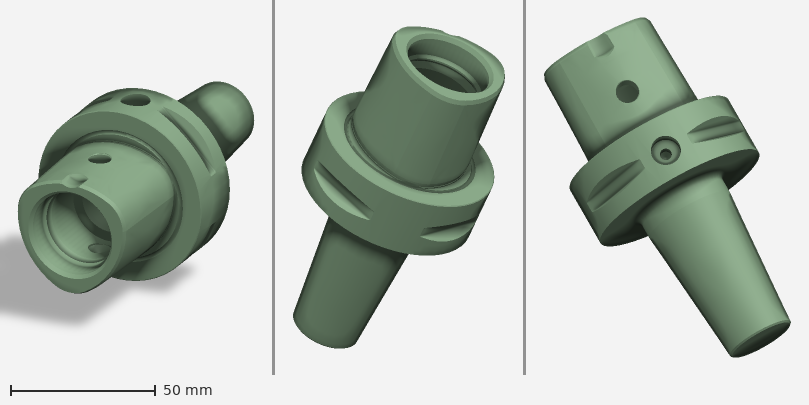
import cadquery as cq
import math

FLANGE_RADIUS = 31.5
FLANGE_LENGTH = 22.0
FLANGE_CHAMFER = 0.3
RIM_FEATURE_Y = 12.1

NOSE_END_Y = 80.0
NOSE_TIP_RADIUS = 12.0
NOSE_ROOT_RADIUS = 16.0
NOSE_TAPER_DEG = 4.5
NOSE_TIP_CHAMFER = 0.6
NOSE_FILLET = 2.0

SHANK_LENGTH = 38.0
LOBE_CENTRE = 10.2
LOBE_RADIUS = 12.97
LOBE_ANGLES = (-90, 30, 150)
LOBE_HALF_SPAN = 30
SIDE_TAPER = 1 / 40
TIP_CHAMFER_LENGTH = 1.5
TIP_CHAMFER_DEPTH = 0.7

NECK_START = 0.5
NECK_END = 2.0
NECK_RELIEF = 0.25
LOBE_TRIM_LENGTH = 1.2
GROOVE_OUTER_RADIUS = 24.4
GROOVE_INNER_RADIUS = 22.8

ENTRY_RADIUS = 16.2
ENTRY_CHAMFER_LENGTH = 1.5
MOUTH_RADIUS = 15.1
MOUTH_DEPTH = 8.4
LIP_RADIUS = 14.1
LIP_LENGTH = 0.6
CLAMP_GROOVE_RADIUS = 15.3
CLAMP_GROOVE_END = 11.4
SEAT_DEPTH = 13.5
BORE_RADIUS = 13.9
BORE_DEPTH = 30.0
THREAD_RADIUS = 9.2
THREAD_CHAMFER = 1.1
THREAD_DEPTH = 45.0

DRILL_POINT_DEG = 118.0

SHANK_HOLE_RADIUS = 4.0
SHANK_HOLE_CHAMFER = 0.35
SHANK_HOLE_RIM_Z = 20.1
SHANK_HOLE_Y = -15.3
SHANK_HOLE_FLOOR_Z = -14.0

POCKET_RADIUS = 5.2
POCKET_FLOOR_Z = 26.0
PILOT_RADIUS = 2.05
PILOT_DEPTH = 4.0

SLOT_COUNT = 4
SLOT_FIRST_ANGLE = 45.0
SLOT_FLOOR_RADIUS = 27.8
SLOT_FLOOR_WIDTH = 3.8
SLOT_WALL_DEG = 30.0
SLOT_FILLET = 0.6

NOTCH_RADIUS = 5.6
NOTCH_FLOOR_Z = 17.8
NOTCH_LENGTH = 6.4


def revolve_about_y(points):
    """Solid of revolution about Y from (radius, y) points."""
    return cq.Workplane("XY").polyline(points).close().revolve(360, (0, 0, 0), (0, 1, 0))


def polar(radius, angle_deg):
    angle = math.radians(angle_deg)
    return cq.Vector(radius * math.cos(angle), radius * math.sin(angle))


def lobed_outline(start_y, inset):
    """Closed three-lobe outline of constant width, moved inward by inset, facing -Y."""
    lobe_radius = LOBE_RADIUS - inset
    flank_radius = lobe_radius + LOBE_CENTRE * math.sqrt(3)
    outline = cq.Workplane("XZ", origin=(0, start_y, 0))
    for index, lobe_angle in enumerate(LOBE_ANGLES):
        centre = polar(LOBE_CENTRE, lobe_angle)
        start = centre + polar(lobe_radius, lobe_angle - LOBE_HALF_SPAN)
        middle = centre + polar(lobe_radius, lobe_angle)
        end = centre + polar(lobe_radius, lobe_angle + LOBE_HALF_SPAN)

        flank_angle = lobe_angle + 2 * LOBE_HALF_SPAN
        flank_centre = polar(LOBE_CENTRE, flank_angle + 180)
        flank_middle = flank_centre + polar(flank_radius, flank_angle)
        flank_end = flank_centre + polar(flank_radius, flank_angle + LOBE_HALF_SPAN)

        if index == 0:
            outline = outline.moveTo(start.x, start.y)
        outline = outline.threePointArc((middle.x, middle.y), (end.x, end.y))
        outline = outline.threePointArc((flank_middle.x, flank_middle.y), (flank_end.x, flank_end.y))
    return outline.close()


def drill_along_z(radius, x, y, top_z, floor_z):
    """Round hole entering from +Z, ending in a drill point below floor_z."""
    point_height = radius / math.tan(math.radians(DRILL_POINT_DEG / 2))
    profile = [(0, top_z), (radius, top_z), (radius, floor_z), (0, floor_z - point_height)]
    hole = cq.Workplane("XZ").polyline(profile).close().revolve(360, (0, 0, 0), (0, 1, 0))
    return hole.translate((x, y, 0))


def make_head():
    """Flange and nose in one turned body, with the rounded nose root."""
    taper_slope = math.tan(math.radians(NOSE_TAPER_DEG))
    taper_length = (NOSE_ROOT_RADIUS - NOSE_TIP_RADIUS) / taper_slope
    chamfer_radius = NOSE_TIP_RADIUS + NOSE_TIP_CHAMFER * taper_slope
    fillet_y = FLANGE_LENGTH + NOSE_FILLET
    fillet_radius = NOSE_ROOT_RADIUS + NOSE_FILLET
    mid_offset = NOSE_FILLET * (1 - math.sqrt(0.5))
    return (
        cq.Workplane("XY")
        .moveTo(0, 0)
        .lineTo(FLANGE_RADIUS - FLANGE_CHAMFER, 0)
        .lineTo(FLANGE_RADIUS, FLANGE_CHAMFER)
        .lineTo(FLANGE_RADIUS, FLANGE_LENGTH)
        .lineTo(fillet_radius, FLANGE_LENGTH)
        .threePointArc(
            (NOSE_ROOT_RADIUS + mid_offset, FLANGE_LENGTH + mid_offset),
            (NOSE_ROOT_RADIUS, fillet_y),
        )
        .lineTo(NOSE_ROOT_RADIUS, NOSE_END_Y - taper_length)
        .lineTo(chamfer_radius, NOSE_END_Y - NOSE_TIP_CHAMFER)
        .lineTo(NOSE_TIP_RADIUS - NOSE_TIP_CHAMFER, NOSE_END_Y)
        .lineTo(0, NOSE_END_Y)
        .close()
        .revolve(360, (0, 0, 0), (0, 1, 0))
    )


def make_face_groove():
    """Round-bottomed ring groove in the flange face that also trims the lobes of the neck."""
    groove_radius = (GROOVE_OUTER_RADIUS - GROOVE_INNER_RADIUS) / 2
    return (
        cq.Workplane("XY")
        .moveTo(GROOVE_INNER_RADIUS, -LOBE_TRIM_LENGTH)
        .lineTo(GROOVE_OUTER_RADIUS, -LOBE_TRIM_LENGTH)
        .lineTo(GROOVE_OUTER_RADIUS, 0)
        .threePointArc((GROOVE_INNER_RADIUS + groove_radius, groove_radius), (GROOVE_INNER_RADIUS, 0))
        .close()
        .revolve(360, (0, 0, 0), (0, 1, 0))
    )


def make_neck():
    """Short full-size collar against the flange, then the slightly smaller relief."""
    collar = lobed_outline(0, 0).extrude(NECK_START)
    relief = lobed_outline(-NECK_START, NECK_RELIEF).extrude(NECK_END - NECK_START)
    return collar.union(relief)


def make_shank():
    """Tapered lobed body and chamfered tip."""
    body_length = SHANK_LENGTH - NECK_END - TIP_CHAMFER_LENGTH
    body = lobed_outline(-NECK_END, 0).extrude(body_length, taper=math.degrees(math.atan(SIDE_TAPER)))
    tip_inset = body_length * SIDE_TAPER
    tip_taper = math.degrees(math.atan(TIP_CHAMFER_DEPTH / TIP_CHAMFER_LENGTH))
    tip_y = TIP_CHAMFER_LENGTH - SHANK_LENGTH
    tip = lobed_outline(tip_y, tip_inset).extrude(TIP_CHAMFER_LENGTH, taper=tip_taper)
    return body.union(tip)


def make_bore():
    """Stepped bore with a clamping groove and a pointed threaded hole behind it."""
    mouth_y = -SHANK_LENGTH
    lip_start = mouth_y + MOUTH_DEPTH + MOUTH_RADIUS - LIP_RADIUS
    lip_end = lip_start + LIP_LENGTH
    groove_start = lip_end + CLAMP_GROOVE_RADIUS - LIP_RADIUS
    groove_end = mouth_y + CLAMP_GROOVE_END
    seat_y = mouth_y + SEAT_DEPTH
    floor_y = mouth_y + BORE_DEPTH
    thread_end = mouth_y + THREAD_DEPTH
    point_height = THREAD_RADIUS / math.tan(math.radians(DRILL_POINT_DEG / 2))
    return (
        cq.Workplane("XY")
        .moveTo(0, mouth_y)
        .lineTo(ENTRY_RADIUS, mouth_y)
        .lineTo(MOUTH_RADIUS, mouth_y + ENTRY_CHAMFER_LENGTH)
        .lineTo(MOUTH_RADIUS, mouth_y + MOUTH_DEPTH)
        .lineTo(LIP_RADIUS, lip_start)
        .lineTo(LIP_RADIUS, lip_end)
        .lineTo(CLAMP_GROOVE_RADIUS, groove_start)
        .lineTo(CLAMP_GROOVE_RADIUS, groove_end)
        .lineTo(BORE_RADIUS, seat_y)
        .lineTo(BORE_RADIUS, floor_y)
        .lineTo(THREAD_RADIUS + THREAD_CHAMFER, floor_y)
        .lineTo(THREAD_RADIUS, floor_y + THREAD_CHAMFER)
        .lineTo(THREAD_RADIUS, thread_end)
        .lineTo(0, thread_end + point_height)
        .close()
        .revolve(360, (0, 0, 0), (0, 1, 0))
    )


def make_shank_hole():
    """Chamfered radial hole through the upper bore wall, its point ending in the lower wall."""
    hole = drill_along_z(SHANK_HOLE_RADIUS, 0, SHANK_HOLE_Y, FLANGE_RADIUS, SHANK_HOLE_FLOOR_Z)
    rim_radius = SHANK_HOLE_RADIUS + SHANK_HOLE_CHAMFER
    rim = cq.Workplane(
        cq.Solid.makeCone(
            SHANK_HOLE_RADIUS,
            rim_radius,
            SHANK_HOLE_CHAMFER,
            pnt=cq.Vector(0, SHANK_HOLE_Y, SHANK_HOLE_RIM_Z - SHANK_HOLE_CHAMFER),
        )
    )
    clearance = (
        cq.Workplane("XY", origin=(0, SHANK_HOLE_Y, SHANK_HOLE_RIM_Z))
        .circle(rim_radius)
        .extrude(FLANGE_RADIUS - SHANK_HOLE_RIM_Z)
    )
    return hole.union(rim).union(clearance)


def make_flange_pocket():
    """Flat-bottomed round pocket in the rim with a pointed pilot hole below it."""
    pocket = (
        cq.Workplane("XY", origin=(0, RIM_FEATURE_Y, POCKET_FLOOR_Z))
        .circle(POCKET_RADIUS)
        .extrude(FLANGE_RADIUS - POCKET_FLOOR_Z)
    )
    pilot = drill_along_z(PILOT_RADIUS, 0, RIM_FEATURE_Y, POCKET_FLOOR_Z, POCKET_FLOOR_Z - PILOT_DEPTH)
    return pocket.union(pilot)


def make_gripper_slot(angle_deg):
    """Straight flared slot across the rim, with rounded floor corners."""
    height = FLANGE_RADIUS - SLOT_FLOOR_RADIUS
    floor_half = SLOT_FLOOR_WIDTH / 2
    top_half = floor_half + height * math.tan(math.radians(SLOT_WALL_DEG))
    slot = (
        cq.Workplane("YZ")
        .polyline([
            (RIM_FEATURE_Y - floor_half, SLOT_FLOOR_RADIUS),
            (RIM_FEATURE_Y + floor_half, SLOT_FLOOR_RADIUS),
            (RIM_FEATURE_Y + top_half, FLANGE_RADIUS),
            (RIM_FEATURE_Y - top_half, FLANGE_RADIUS),
        ])
        .close()
        .extrude(FLANGE_RADIUS, both=True)
        .faces("<Z")
        .edges("|X")
        .fillet(SLOT_FILLET)
    )
    return slot.rotate((0, 0, 0), (0, 1, 0), angle_deg)


def make_tip_notch():
    """Pointed round cutter path along Y that nicks the top of the shank tip."""
    axis_z = NOTCH_FLOOR_Z + NOTCH_RADIUS
    end_y = NOTCH_LENGTH - SHANK_LENGTH
    notch = revolve_about_y([
        (0, -SHANK_LENGTH),
        (NOTCH_RADIUS, -SHANK_LENGTH),
        (NOTCH_RADIUS, end_y),
        (0, end_y + NOTCH_RADIUS),
    ])
    return notch.translate((0, 0, axis_z))


result = make_head().union(make_neck())
result = result.cut(make_face_groove())
result = result.union(make_shank())
result = result.cut(make_bore())
result = result.cut(make_shank_hole())
result = result.cut(make_flange_pocket())
result = result.cut(make_tip_notch())
for slot_index in range(SLOT_COUNT):
    result = result.cut(make_gripper_slot(SLOT_FIRST_ANGLE + slot_index * 360 / SLOT_COUNT))